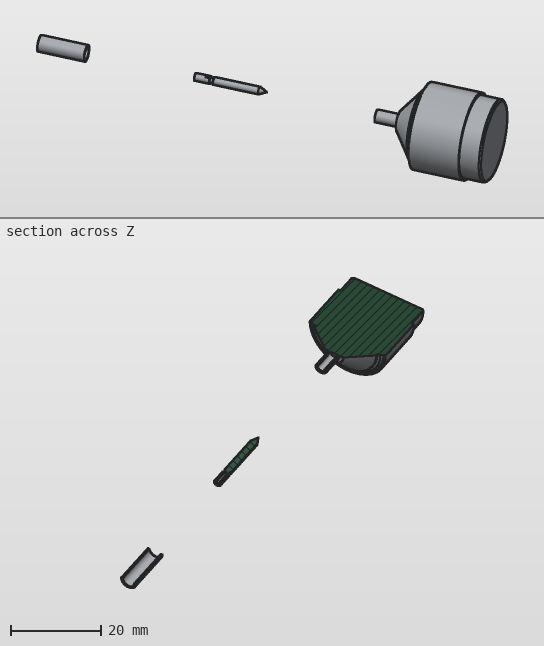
import cadquery as cq

TOTAL_LENGTH = 106.6

SLEEVE_LENGTH = 11.0
SLEEVE_RADIUS = 1.9
SLEEVE_BORE_RADIUS = 1.5

PIN_START = 36.5
PIN_LENGTH = 16.8
PIN_RADIUS = 0.91
PIN_BARREL_LENGTH = 3.5
PIN_GROOVE_WIDTH = 0.9
PIN_GROOVE_RADIUS = 0.6
PIN_TIP_LENGTH = 1.8
PIN_BORE_RADIUS = 0.3
PIN_SLOT_LENGTH = 1.1
PIN_SLOT_WIDTH = 0.59

HOUSING_LENGTH = 27.6
HOUSING_RADIUS = 10.0
NECK_LENGTH = 5.3
NECK_RADIUS = 1.5
NECK_BORE_RADIUS = 0.91
CONE_LENGTH = 4.5
CONE_SMALL_RADIUS = 2.5
CONE_LARGE_RADIUS = 8.2
NUT_LENGTH = 11.7
COLLAR_RADIUS = 9.5
COLLAR_CHAMFER = 0.5
REAR_LENGTH = 5.0
REAR_RADIUS = 9.5
REAR_CHAMFER = 0.4


def revolve_about_x(points):
    """Revolve a closed (x, radius) outline a full turn about the X axis."""
    return cq.Workplane("XZ").polyline(points).close().revolve(360, (0, 0, 0), (1, 0, 0))


def cylinder_along_x(start, length, radius):
    return cq.Workplane("YZ", origin=(start, 0, 0)).circle(radius).extrude(length)


def make_sleeve():
    """Plain tube."""
    bore = cylinder_along_x(0, SLEEVE_LENGTH, SLEEVE_BORE_RADIUS)
    return cylinder_along_x(0, SLEEVE_LENGTH, SLEEVE_RADIUS).cut(bore)


def make_pin():
    """Pointed pin with a solder bore, a groove and an inspection slot on top."""
    groove_start = PIN_START + PIN_BARREL_LENGTH
    groove_end = groove_start + PIN_GROOVE_WIDTH
    tip_end = PIN_START + PIN_LENGTH
    tip_start = tip_end - PIN_TIP_LENGTH
    pin = revolve_about_x([
        (PIN_START, 0),
        (PIN_START, PIN_RADIUS),
        (groove_start, PIN_RADIUS),
        (groove_start, PIN_GROOVE_RADIUS),
        (groove_end, PIN_GROOVE_RADIUS),
        (groove_end, PIN_RADIUS),
        (tip_start, PIN_RADIUS),
        (tip_end, 0),
    ])
    bore = cylinder_along_x(PIN_START, PIN_BARREL_LENGTH, PIN_BORE_RADIUS)

    slot = cq.Workplane("XY").box(
        PIN_SLOT_LENGTH, PIN_SLOT_WIDTH, PIN_RADIUS, centered=(False, True, False)
    ).translate((groove_start - PIN_SLOT_LENGTH, 0, 0))
    return pin.cut(bore).cut(slot)


def make_housing():
    """Turned housing: hollow neck, cone, chamfered collar, nut and stepped-down rear."""
    neck_start = TOTAL_LENGTH - HOUSING_LENGTH
    cone_start = neck_start + NECK_LENGTH
    cone_end = cone_start + CONE_LENGTH
    rear_start = TOTAL_LENGTH - REAR_LENGTH
    nut_start = rear_start - NUT_LENGTH
    collar_start = nut_start - COLLAR_CHAMFER
    housing = revolve_about_x([
        (neck_start, 0),
        (neck_start, NECK_RADIUS),
        (cone_start, NECK_RADIUS),
        (cone_start, CONE_SMALL_RADIUS),
        (cone_end, CONE_LARGE_RADIUS),
        (collar_start, CONE_LARGE_RADIUS),
        (collar_start, COLLAR_RADIUS - COLLAR_CHAMFER),
        (nut_start, COLLAR_RADIUS),
        (nut_start, HOUSING_RADIUS),
        (rear_start, HOUSING_RADIUS),
        (rear_start, REAR_RADIUS),
        (TOTAL_LENGTH - REAR_CHAMFER, REAR_RADIUS),
        (TOTAL_LENGTH, REAR_RADIUS - REAR_CHAMFER),
        (TOTAL_LENGTH, 0),
    ])
    return housing.cut(cylinder_along_x(neck_start, NECK_LENGTH, NECK_BORE_RADIUS))


sleeve = make_sleeve()
pin = make_pin()
housing = make_housing()

result = cq.Compound.makeCompound([sleeve.val(), pin.val(), housing.val()])